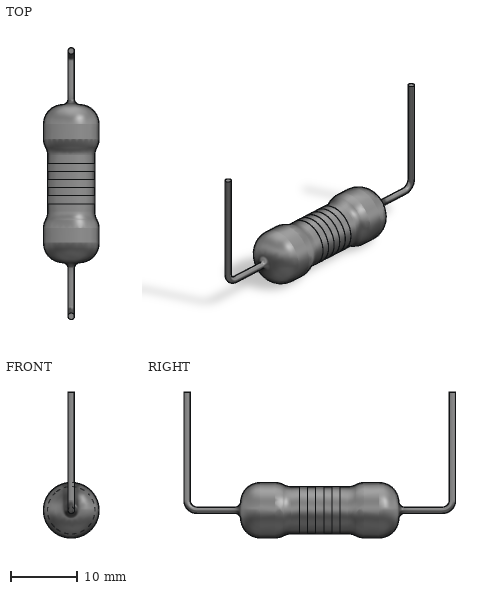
import cadquery as cq
import math

overall_length = 41.0
lead_diameter = 1.0
overall_height = 22.0
bend_radius = 1.5

cap_diameter = 8.4
waist_diameter = 7.15
band_diameter = 7.18
band_count = 3
waist_half_length = 4.25
flare_length = 2.45
cap_straight_length = 2.2
dome_radius = 3.0
collar_radius = 0.8

lead_radius = lead_diameter / 2
cap_radius = cap_diameter / 2
waist_radius = waist_diameter / 2
cap_start = waist_half_length + flare_length
dome_start = cap_start + cap_straight_length
lead_top_height = overall_height - cap_radius
lead_offset = overall_length / 2 - lead_radius


def make_body_half():
    """Revolve the body from its middle to the +Y lead."""
    half_flare = flare_length / 2
    half_step = (cap_radius - waist_radius) / 2
    flare_radius = (half_flare**2 + half_step**2) / (2 * half_step)
    flare_middle = (waist_radius + half_step, waist_half_length + half_flare)

    dome_center_x = cap_radius - dome_radius
    collar_center_x = lead_radius + collar_radius
    center_shift = collar_center_x - dome_center_x
    center_distance = dome_radius + collar_radius
    center_rise = math.sqrt(center_distance**2 - center_shift**2)
    dome_share = dome_radius / center_distance
    dome_end = (
        dome_center_x + center_shift * dome_share,
        dome_start + center_rise * dome_share,
    )
    collar_end = dome_start + center_rise

    profile = (
        cq.Workplane("XY")
        .lineTo(waist_radius, 0)
        .lineTo(waist_radius, waist_half_length)
        .radiusArc(flare_middle, flare_radius)
        .radiusArc((cap_radius, cap_start), -flare_radius)
        .lineTo(cap_radius, dome_start)
        .radiusArc(dome_end, -dome_radius)
        .radiusArc((lead_radius, collar_end), collar_radius)
        .lineTo(0, collar_end)
        .close()
    )
    return profile.revolve(360, (0, 0, 0), (0, 1, 0))


def make_bands():
    """Slightly raised rings, with gaps as wide as the rings between and beside them."""
    stripe_width = 2 * waist_half_length / (2 * band_count + 1)
    bands = cq.Workplane("XZ")
    for index in range(band_count):
        front_y = -waist_half_length + (2 * index + 1) * stripe_width
        band = (
            cq.Workplane("XZ", origin=(0, front_y, 0))
            .circle(band_diameter / 2)
            .extrude(-stripe_width)
        )
        bands = bands.add(band)
    return bands.combine()


def make_lead():
    """Sweep the +Y lead from inside the body, round the bend and up."""
    path = (
        cq.Workplane("YZ")
        .moveTo(cap_start, 0)
        .lineTo(lead_offset - bend_radius, 0)
        .radiusArc((lead_offset, bend_radius), -bend_radius)
        .lineTo(lead_offset, lead_top_height)
    )
    section = cq.Workplane("XZ", origin=(0, cap_start, 0)).circle(lead_radius)
    return section.sweep(path)


half = make_body_half().union(make_lead())
result = half.union(half.mirror("XZ")).union(make_bands())